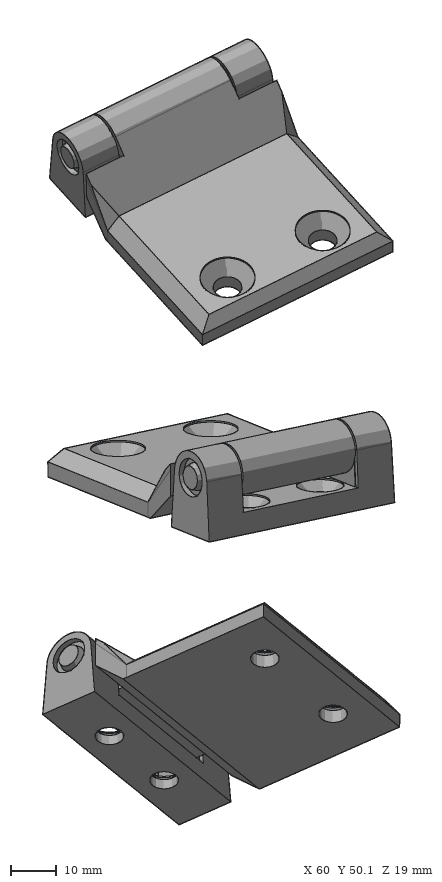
import cadquery as cq
import math

WIDTH = 50.1
LENGTH = 60.0
MOULD_DRAFT = 0.5
DRAFT_SLOPE = math.tan(math.radians(MOULD_DRAFT))

AXIS_Z = 12.95
KNUCKLE_RADIUS = 6.0
PIN_RADIUS = 3.1
PIN_TAPER = 0.5
RECESS_RADIUS = 4.25
RECESS_DEPTH = 1.5

BASE_LENGTH = 14.1
AXIS_X = BASE_LENGTH / 2
BASE_FLOOR = 5.0
POCKET_WIDTH = 30.95
PAD_HEIGHT = 0.2
PAD_INSET = 0.9
BASE_HOLE_PITCH = 20.05
BASE_SINK_RADIUS = 5.2

BARREL_LENGTH = 30.35
BARREL_BOTTOM = AXIS_Z - KNUCKLE_RADIUS
ARM_X = 14.4
BEND_X = 22.8
PLATE_THICKNESS = 6.5
BEVEL_HEIGHT = 3.0
SIDE_BEVEL = 3.0
END_BEVEL = 1.9
BEVEL_Z = PLATE_THICKNESS - BEVEL_HEIGHT
FACET_X = 16.3
LEAF_HOLE_X = 51.1
LEAF_HOLE_PITCH = 25.0
LEAF_SINK_RADIUS = 6.0

SCREW_RADIUS = 3.1
SINK_LAND = 0.35


def cylinder_y(radius, start_y, end_y):
    """Solid cylinder on the hinge axis from start_y to end_y."""
    disc = cq.Workplane("XZ", origin=(AXIS_X, start_y, AXIS_Z)).circle(radius)
    return disc.extrude(start_y - end_y)


def countersunk_hole(x, y, top_z, sink_radius):
    """Cutter for a through hole from z = 0 with a countersink below top_z."""
    cone_top = top_z - SINK_LAND
    section = (
        cq.Workplane("XZ")
        .moveTo(0, 0)
        .lineTo(SCREW_RADIUS, 0)
        .lineTo(SCREW_RADIUS, cone_top - (sink_radius - SCREW_RADIUS))
        .lineTo(sink_radius, cone_top)
        .lineTo(sink_radius, top_z)
        .lineTo(0, top_z)
        .close()
    )
    return section.revolve(360, (0, 0, 0), (0, 1, 0)).translate((x, y, 0))


def tangent_angle(x, z):
    """Angle from +X, at the axis, of the upper-right knuckle point whose tangent passes through (x, z)."""
    dx = x - AXIS_X
    dz = z - AXIS_Z
    return math.atan2(dz, dx) + math.acos(KNUCKLE_RADIUS / math.hypot(dx, dz))


def on_knuckle(angle):
    """Point (x, z) of the knuckle circle at an angle from +X."""
    return AXIS_X + KNUCKLE_RADIUS * math.cos(angle), AXIS_Z + KNUCKLE_RADIUS * math.sin(angle)


def knuckle_outline():
    """Closed knuckle outline, tapering up from the foot to the round top, on the +Y side."""
    right_x, right_z = on_knuckle(tangent_angle(BASE_LENGTH, 0))
    return (
        cq.Workplane("XZ", origin=(0, WIDTH / 2, 0))
        .moveTo(0, 0)
        .lineTo(BASE_LENGTH, 0)
        .lineTo(right_x, right_z)
        .threePointArc((AXIS_X, AXIS_Z + KNUCKLE_RADIUS), (BASE_LENGTH - right_x, right_z))
        .close()
    )


def fork(pocket_width):
    """Block with a pocket between two upright arms, whose standing faces are drafted."""
    top_z = AXIS_Z + KNUCKLE_RADIUS
    outer_foot = WIDTH / 2
    outer_top = outer_foot - top_z * DRAFT_SLOPE
    inner_foot = pocket_width / 2
    inner_top = inner_foot + (top_z - BASE_FLOOR) * DRAFT_SLOPE
    return (
        cq.Workplane("YZ")
        .polyline([
            (-outer_foot, 0), (outer_foot, 0), (outer_top, top_z), (inner_top, top_z),
            (inner_foot, BASE_FLOOR), (-inner_foot, BASE_FLOOR), (-inner_top, top_z), (-outer_top, top_z),
        ])
        .close()
        .extrude(BASE_LENGTH)
    )


def make_base():
    """Strip with two knuckles, padded on their inner faces and recessed around the pin ends."""
    pad_body = knuckle_outline().offset2D(-PAD_INSET).extrude(WIDTH)
    pads = pad_body.intersect(fork(POCKET_WIDTH - 2 * PAD_HEIGHT))
    base = knuckle_outline().extrude(WIDTH).intersect(fork(POCKET_WIDTH)).union(pads)
    base = base.cut(cylinder_y(PIN_RADIUS, -WIDTH / 2, WIDTH / 2))
    recess_floor = WIDTH / 2 - RECESS_DEPTH
    for side in (-1, 1):
        base = base.cut(cylinder_y(RECESS_RADIUS, *sorted((side * recess_floor, side * WIDTH / 2))))
        hole_y = side * BASE_HOLE_PITCH / 2
        base = base.cut(countersunk_hole(AXIS_X, hole_y, BASE_FLOOR, BASE_SINK_RADIUS))
    return base


def leaf_profile():
    """Leaf section across the hinge axis: barrel, sloping arm and bevelled plate."""
    slope_angle = tangent_angle(BEND_X, PLATE_THICKNESS)
    foot_x = ARM_X + BARREL_BOTTOM * math.tan(slope_angle)
    return (
        cq.Workplane("XZ", origin=(0, WIDTH / 2, 0))
        .moveTo(*on_knuckle(slope_angle))
        .lineTo(BEND_X, PLATE_THICKNESS)
        .lineTo(LENGTH - END_BEVEL, PLATE_THICKNESS)
        .lineTo(LENGTH, BEVEL_Z)
        .lineTo(LENGTH - BEVEL_Z * DRAFT_SLOPE, 0)
        .lineTo(foot_x, 0)
        .lineTo(ARM_X, BARREL_BOTTOM)
        .lineTo(AXIS_X, BARREL_BOTTOM)
        .threePointArc((AXIS_X - KNUCKLE_RADIUS, AXIS_Z), on_knuckle(slope_angle))
        .close()
        .extrude(WIDTH)
    )


def barrel_clearance():
    """Cutter beside the +Y barrel end; the end is drafted both ways from the axis height."""
    barrel_end = BARREL_LENGTH / 2
    drafted_end = barrel_end - KNUCKLE_RADIUS * DRAFT_SLOPE
    return (
        cq.Workplane("YZ")
        .polyline([
            (WIDTH / 2, AXIS_Z - KNUCKLE_RADIUS), (drafted_end, AXIS_Z - KNUCKLE_RADIUS),
            (barrel_end, AXIS_Z),
            (drafted_end, AXIS_Z + KNUCKLE_RADIUS), (WIDTH / 2, AXIS_Z + KNUCKLE_RADIUS),
        ])
        .close()
        .extrude(ARM_X)
    )


def side_bevel():
    """Cutter for the bevel along the +Y edge of the plate."""
    edge = WIDTH / 2
    return (
        cq.Workplane("YZ", origin=(BEND_X, 0, 0))
        .polyline([(edge, BEVEL_Z), (edge, PLATE_THICKNESS), (edge - SIDE_BEVEL, PLATE_THICKNESS)])
        .close()
        .extrude(LENGTH - BEND_X)
    )


def arm_facet():
    """Cutter that runs the +Y side bevel out on the sloping arm: a tetrahedron."""
    edge = WIDTH / 2
    arm_rise = (BEND_X - FACET_X) / math.tan(tangent_angle(BEND_X, PLATE_THICKNESS))
    corners = [
        (FACET_X, edge, PLATE_THICKNESS + arm_rise),
        (BEND_X, edge - SIDE_BEVEL, PLATE_THICKNESS),
        (BEND_X, edge, PLATE_THICKNESS),
        (BEND_X, edge, BEVEL_Z),
    ]
    faces = []
    for skipped in range(len(corners)):
        triangle = corners[:skipped] + corners[skipped + 1:]
        faces.append(cq.Face.makeFromWires(cq.Wire.makePolygon(triangle, close=True)))
    return cq.Workplane(cq.Solid.makeSolid(cq.Shell.makeShell(faces)))


def draft_wedge(start, end):
    """Cutter that drafts the +Y side below the edge running from start to end, both (x, z)."""
    edge = WIDTH / 2
    depth = 2 * KNUCKLE_RADIUS
    inset = edge - depth * DRAFT_SLOPE
    triangles = []
    for x, z in (start, end):
        corners = [(x, edge, z), (x, edge, z - depth), (x, inset, z - depth)]
        triangles.append(cq.Wire.makePolygon(corners, close=True))
    return cq.Workplane(cq.Solid.makeLoft(triangles, True))


def make_leaf():
    """Countersunk plate on a sloping arm, with the barrel between the base knuckles."""
    side_cuts = [
        barrel_clearance(),
        side_bevel(),
        arm_facet(),
        draft_wedge((ARM_X, AXIS_Z), (BEND_X, BEVEL_Z)),
        draft_wedge((BEND_X, BEVEL_Z), (LENGTH, BEVEL_Z)),
    ]
    leaf = leaf_profile()
    for cut in side_cuts:
        leaf = leaf.cut(cut).cut(cut.mirror("XZ"))
    leaf = leaf.cut(cylinder_y(PIN_RADIUS, -WIDTH / 2, WIDTH / 2))
    for side in (-1, 1):
        hole_y = side * LEAF_HOLE_PITCH / 2
        leaf = leaf.cut(countersunk_hole(LEAF_HOLE_X, hole_y, PLATE_THICKNESS, LEAF_SINK_RADIUS))
    return leaf


def make_pin():
    """Pin through both knuckles and the barrel; its ends taper over the depth of the recesses."""
    pin = cylinder_y(PIN_RADIUS, -WIDTH / 2, WIDTH / 2)
    return pin.faces("<Y or >Y").edges().chamfer(RECESS_DEPTH, PIN_TAPER)


base = make_base()
leaf = make_leaf()
pin = make_pin()

result = cq.Compound.makeCompound([part.solids().val() for part in (base, leaf, pin)])